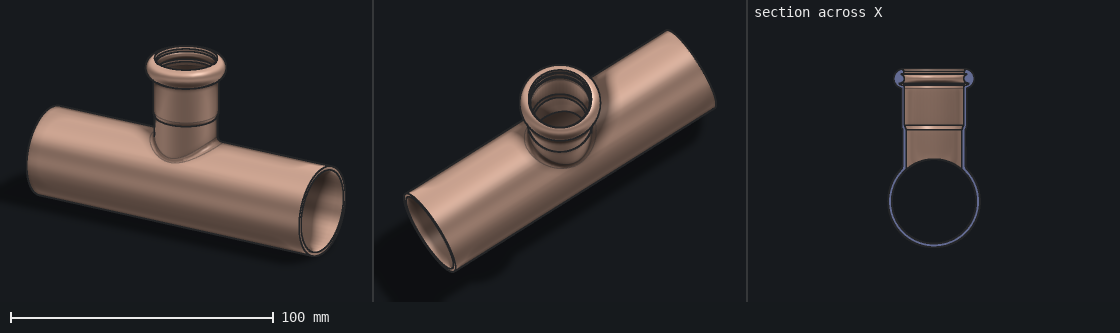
import cadquery as cq
import math

pipe_length = 120.0
pipe_diameter = 35.0
wall = 1.5
pipe_radius = pipe_diameter / 2
total_height = 68.0

neck_radius = 24.0 / 2
socket_radius = 25.0 / 2
socket_bore = 22.3 / 2
neck_bore = 21.0 / 2
branch_top = total_height - pipe_radius
step_bottom = 27.2
step_top = 29.0
step_bulge_radius = 12.4
step_bulge_height = 28.0
saddle_fillet = 2.2

bead_diameter = 30.8
bead_section_radius = 3.8
bead_center_radius = bead_diameter / 2 - bead_section_radius
bead_center_height = branch_top - bead_section_radius
groove_section_radius = bead_section_radius - wall

mouth_radius = 24.0 / 2
lip_radius = 22.9 / 2
lip_taper_depth = 1.0
lip_depth = 2.0

lead_in_top = 44.3
lead_in_bottom = 43.1

seal_section_radius = 1.8
seal_inner_radius = 22.5 / 2
seal_center_radius = seal_inner_radius + seal_section_radius


def height_on_arc(section_radius, radial_distance):
    """Height of a round section above its centre at the given radial distance."""
    return math.sqrt(section_radius**2 - radial_distance**2)


def make_branch_outside():
    bead_bottom = bead_center_height - height_on_arc(
        bead_section_radius, socket_radius - bead_center_radius
    )
    bead_edge = bead_center_height + height_on_arc(
        bead_section_radius, mouth_radius - bead_center_radius
    )
    profile = (
        cq.Workplane("XZ")
        .moveTo(0, 0)
        .lineTo(neck_radius, 0)
        .lineTo(neck_radius, step_bottom)
        .threePointArc((step_bulge_radius, step_bulge_height), (socket_radius, step_top))
        .lineTo(socket_radius, bead_bottom)
        .threePointArc((bead_diameter / 2, bead_center_height), (mouth_radius, bead_edge))
        .lineTo(0, bead_edge)
        .close()
    )
    return profile.revolve(360, (0, 0, 0), (0, 1, 0))


def make_branch_bore():
    groove_outer_radius = bead_center_radius + groove_section_radius
    profile = (
        cq.Workplane("XZ")
        .moveTo(0, 0)
        .lineTo(neck_bore, 0)
        .lineTo(neck_bore, step_bottom)
        .lineTo(socket_bore, step_top)
        .lineTo(socket_bore, lead_in_bottom)
        .lineTo(lip_radius, lead_in_top)
        .threePointArc((groove_outer_radius, bead_center_height), (lip_radius, branch_top - lip_depth))
        .lineTo(lip_radius, branch_top - lip_taper_depth)
        .lineTo(mouth_radius, branch_top)
        .lineTo(0, branch_top)
        .close()
    )
    return profile.revolve(360, (0, 0, 0), (0, 1, 0))


def make_seal():
    section = cq.Workplane("XZ").center(seal_center_radius, bead_center_height).circle(seal_section_radius)
    return section.revolve(360, (-seal_center_radius, 0, 0), (-seal_center_radius, 1, 0))


def make_pipe_cylinder(radius):
    return cq.Workplane("YZ").circle(radius).extrude(pipe_length / 2, both=True)


seam_zone = cq.selectors.BoxSelector(
    (-socket_radius, -socket_radius, 0),
    (socket_radius, socket_radius, pipe_radius + saddle_fillet),
    boundingbox=True,
)

outside = make_pipe_cylinder(pipe_radius).union(make_branch_outside())
outside = outside.edges(seam_zone).fillet(saddle_fillet)
hollow = outside.cut(make_pipe_cylinder(pipe_radius - wall)).cut(make_branch_bore())
result = hollow.union(make_seal())